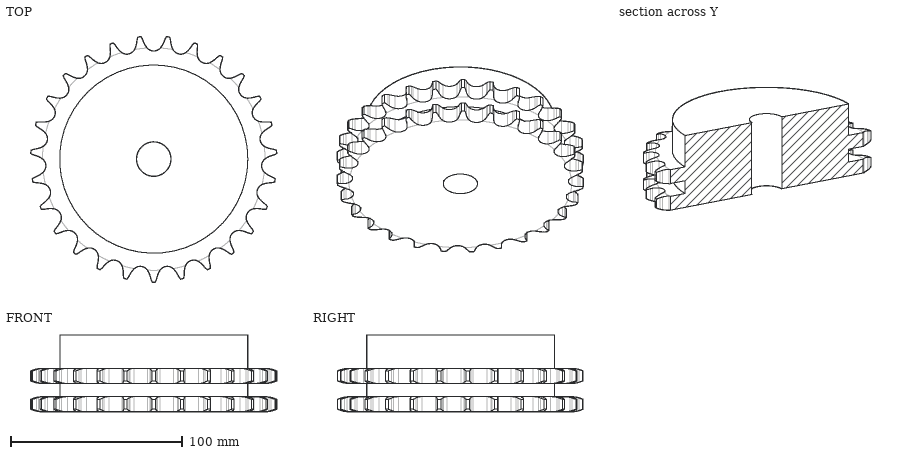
import cadquery as cq
import math

teeth = 27
chain_pitch = 15.875
roller_diameter = 10.16
strand_spacing = 16.59
tip_radius = 72.0
seat_clearance = 0.0381
seat_radius = 0.5025 * roller_diameter + seat_clearance
seat_half_angle = math.radians(55 - 60 / teeth)
concave_centre_offset = 0.8 * roller_diameter
concave_radius = seat_radius + concave_centre_offset
concave_sweep = math.radians(18 - 56 / teeth)
convex_centre_offset = 1.4 * roller_diameter
convex_offset_angle = math.radians(17 - 64 / teeth)
straight_length = (
    convex_centre_offset * math.sin(convex_offset_angle)
    - concave_centre_offset * math.sin(concave_sweep)
)
convex_radius = (
    concave_centre_offset * math.cos(concave_sweep)
    + convex_centre_offset * math.cos(convex_offset_angle)
    - concave_radius
)
convex_sweep = math.radians(35)

double_plate_width = 25.5
plate_width = double_plate_width - strand_spacing
rim_side_radius = 16.0
rim_side_drop = 1.6

hub_diameter = 110.0
bore_diameter = 20.0
total_height = 45.0

pitch_angle = 360 / teeth
pitch_radius = chain_pitch / (2 * math.sin(math.pi / teeth))
first_gap_angle = 90.0


def rim_blank():
    """Disc whose two sides curve in towards the tooth tips."""
    side_run = math.sqrt(rim_side_radius**2 - (rim_side_radius - rim_side_drop) ** 2)
    side_start = tip_radius - side_run
    middle_angle = 0.5 * math.asin(side_run / rim_side_radius)
    middle_r = side_start + rim_side_radius * math.sin(middle_angle)
    middle_drop = rim_side_radius * (1 - math.cos(middle_angle))
    return (
        cq.Workplane("XZ")
        .lineTo(side_start, 0)
        .threePointArc((middle_r, middle_drop), (tip_radius, rim_side_drop))
        .lineTo(tip_radius, plate_width - rim_side_drop)
        .threePointArc((middle_r, plate_width - middle_drop), (side_start, plate_width))
        .lineTo(0, plate_width)
        .close()
        .revolve(360, (0, 0, 0), (0, 1, 0))
    )


def offset_point(start, distance, angle):
    """Point at a distance from start, into the metal along the normal at the given angle."""
    return (
        start[0] - distance * math.cos(angle),
        start[1] + distance * math.sin(angle),
    )


def mirrored(point):
    return (point[0], -point[1])


def tooth_gap():
    """Cutter for one gap lying along +X, reaching out past the tooth tips."""
    roller_centre = (pitch_radius, 0)
    root = offset_point(roller_centre, seat_radius, 0)
    seat_end = offset_point(roller_centre, seat_radius, seat_half_angle)

    concave_centre = offset_point(roller_centre, -concave_centre_offset, seat_half_angle)
    concave_middle = offset_point(concave_centre, concave_radius, seat_half_angle + concave_sweep / 2)
    straight_angle = seat_half_angle + concave_sweep
    concave_end = offset_point(concave_centre, concave_radius, straight_angle)

    straight_end = (
        concave_end[0] + straight_length * math.sin(straight_angle),
        concave_end[1] + straight_length * math.cos(straight_angle),
    )
    convex_centre = offset_point(straight_end, convex_radius, straight_angle)
    convex_middle = offset_point(convex_centre, -convex_radius, straight_angle - convex_sweep / 2)
    convex_end = offset_point(convex_centre, -convex_radius, straight_angle - convex_sweep)

    return (
        cq.Workplane("XY")
        .moveTo(*mirrored(convex_end))
        .threePointArc(mirrored(convex_middle), mirrored(straight_end))
        .lineTo(*mirrored(concave_end))
        .threePointArc(mirrored(concave_middle), mirrored(seat_end))
        .threePointArc(root, seat_end)
        .threePointArc(concave_middle, concave_end)
        .lineTo(*straight_end)
        .threePointArc(convex_middle, convex_end)
        .close()
        .extrude(plate_width)
    )


def toothed_plate():
    plate = rim_blank()
    gap = tooth_gap()
    for index in range(teeth):
        angle = first_gap_angle + index * pitch_angle
        plate = plate.cut(gap.rotate((0, 0, 0), (0, 0, 1), angle))
    return plate


lower_plate = toothed_plate()
upper_plate = lower_plate.translate((0, 0, strand_spacing))
hub = cq.Workplane("XY").circle(hub_diameter / 2).extrude(total_height)
bore = cq.Workplane("XY").circle(bore_diameter / 2).extrude(total_height)

result = hub.union(lower_plate).union(upper_plate).cut(bore)